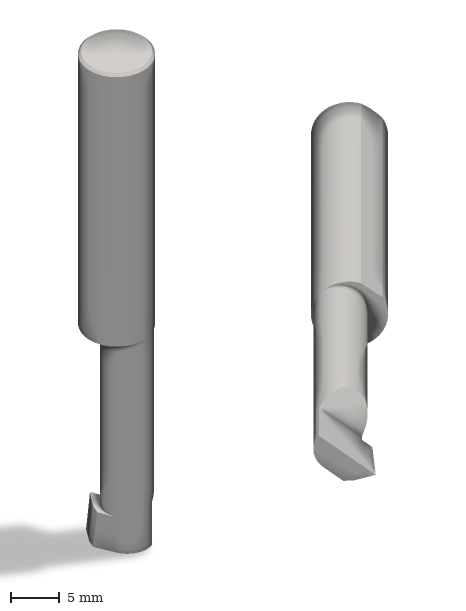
import cadquery as cq

total_length = 63.5
shank_diameter = 7.95
shank_depth = 7.7
shank_chamfer = 0.3

neck_diameter = 5.6
neck_length = 28.0

relief_height = 5.8
runout_top = 8.4

head_height = 5.0
head_lean = 0.45
tip_x = -3.4
heel_x = -2.2
heel_y = -2.0
front_left_x = -1.4
end_rise_right = 0.25
end_rise_front = 0.25

shank_radius = shank_diameter / 2
neck_radius = neck_diameter / 2
neck_x = shank_radius - neck_radius


def make_shank():
    shank = (
        cq.Workplane("XY")
        .workplane(offset=neck_length)
        .circle(shank_radius)
        .extrude(total_length - neck_length)
        .faces(">Z")
        .chamfer(shank_chamfer)
    )
    flat_y = shank_depth - shank_radius
    flat_cutter = cq.Workplane("XY").box(
        shank_diameter, shank_diameter, total_length, centered=(True, False, False)
    )
    return shank.cut(flat_cutter.translate((0, flat_y, 0)))


def make_neck():
    neck = cq.Workplane("XY").center(neck_x, 0).circle(neck_radius).extrude(neck_length)
    relief = (
        cq.Workplane("YZ")
        .polyline([(0, 0), (0, relief_height), (neck_radius, runout_top), (neck_radius, 0)])
        .close()
        .extrude(shank_diameter, both=True)
    )
    return neck.cut(relief)


def head_outline(shift):
    """Head section with its left flanks moved by shift along X."""
    return [
        (tip_x + shift, 0),
        (heel_x + shift, heel_y),
        (front_left_x + shift, -neck_radius),
        (neck_x, -neck_radius),
        (neck_x, 0),
    ]


def make_head():
    return (
        cq.Workplane("XY")
        .polyline(head_outline(0))
        .close()
        .workplane(offset=head_height)
        .polyline(head_outline(head_lean))
        .close()
        .loft(ruled=True)
    )


def make_end_cutter():
    """Block below the sloping end face, which passes through the tip."""
    slope_x = end_rise_right / (shank_radius - tip_x)
    slope_y = end_rise_front / neck_radius
    end_plane = cq.Plane(
        origin=(tip_x, 0, 0), xDir=(1, 0, slope_x), normal=(-slope_x, slope_y, 1)
    )
    cutter_width = 4 * shank_diameter
    return cq.Workplane(end_plane).rect(cutter_width, cutter_width).extrude(-shank_diameter)


result = make_shank().union(make_neck()).union(make_head()).cut(make_end_cutter())